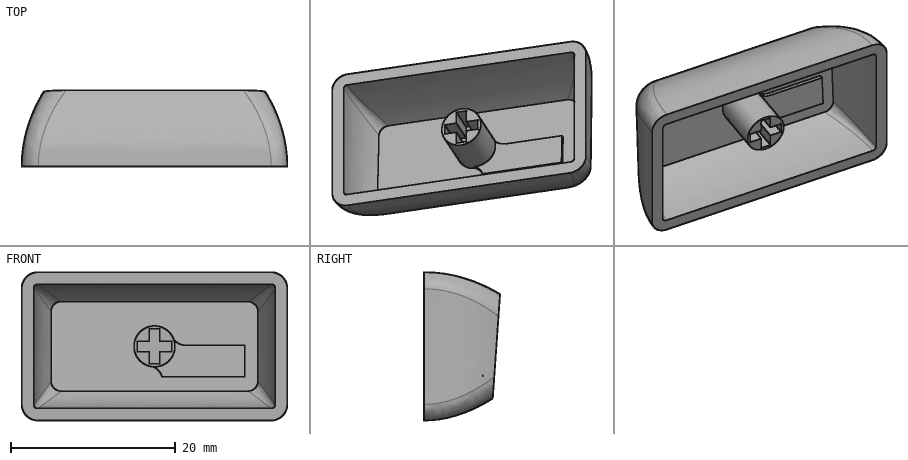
import cadquery as cq
import math


BASE_WIDTH = 32.4
BASE_HEIGHT = 18.1
BASE_CORNER = 2.0
TOP_INSET = 2.7
TOP_CORNER = 2.7
TOP_TILT = 4.0
PEAK_DEPTH = 9.3
SHELL_MID_LEAN = 0.25

WALL = 1.5
CAVITY_WIDTH = BASE_WIDTH - 2 * WALL
CAVITY_HEIGHT = BASE_HEIGHT - 2 * WALL
CAVITY_CORNER = 0.45
FLOOR_THICKNESS = 1.43
FLOOR_INSET = 2.1
FLOOR_CORNER = 1.2
CAVITY_MID_LEAN = 0.28

STEM_DIAMETER = 5.0
STEM_RECESS = 0.97
CROSS_SPAN = 4.25
CROSS_ARM = 1.25
CROSS_DEPTH = 4.0

PLATE_THICKNESS = 0.45
PLATE_RIGHT = 10.98
PLATE_TOP = 0.13
PLATE_BOTTOM = -3.7
PLATE_UPPER_ARC_END = 3.85
PLATE_LOWER_ARC_END = 0.9
PLATE_ARC_RADIUS = 1.9
PLATE_UPPER_ANGLE = 19.0
PLATE_LOWER_ANGLE = -93.5

top_height = BASE_HEIGHT - 2 * TOP_INSET
top_depth = PEAK_DEPTH - top_height / 2 * math.tan(math.radians(TOP_TILT))
floor_depth = top_depth - FLOOR_THICKNESS
stem_radius = STEM_DIAMETER / 2


def facing_front(depth):
    """Workplane parallel to the rim, seen from the open side."""
    return cq.Workplane("XZ", origin=(0, depth, 0))


def leaning_block(width, height, corner, inset, end_corner, depth, mid_lean):
    """Loft from an upright rounded rectangle to a smaller, tilted one, with curved walls."""
    sections = []
    for progress, lean in ((0, 0), (0.5, mid_lean), (1, 1)):
        shrink = 2 * inset * lean
        radius = corner + (end_corner - corner) * lean
        outline = cq.Sketch().rect(width - shrink, height - shrink).vertices().fillet(radius)
        upright = cq.Plane(origin=(0, depth * progress, 0), xDir=(1, 0, 0), normal=(0, 1, 0))
        tilted = upright.rotated((-TOP_TILT * progress, 0, 0))
        sections.append(outline.moved(tilted.location))
    return cq.Workplane().placeSketch(*sections).loft()


def make_cavity():
    return leaning_block(
        CAVITY_WIDTH, CAVITY_HEIGHT, CAVITY_CORNER, FLOOR_INSET, FLOOR_CORNER, floor_depth, CAVITY_MID_LEAN
    )


def make_stem_post():
    """Round post from the stem end to beyond the cavity floor."""
    return facing_front(STEM_RECESS).circle(stem_radius).extrude(STEM_RECESS - top_depth)


def make_cross_socket():
    end_face = facing_front(STEM_RECESS)
    level_arm = end_face.rect(CROSS_SPAN, CROSS_ARM).extrude(-CROSS_DEPTH)
    upright_arm = end_face.rect(CROSS_ARM, CROSS_SPAN).extrude(-CROSS_DEPTH)
    return level_arm.union(upright_arm)


def make_keycap(cavity):
    shell = leaning_block(
        BASE_WIDTH, BASE_HEIGHT, BASE_CORNER, TOP_INSET, TOP_CORNER, top_depth, SHELL_MID_LEAN
    )
    stem = make_stem_post().intersect(cavity)
    return shell.cut(cavity).union(stem).cut(make_cross_socket())


def point_on_stem(angle):
    turn = math.radians(angle)
    return stem_radius * math.cos(turn), stem_radius * math.sin(turn)


def make_plate(cavity):
    """Flat plate lying on the tilted floor, flaring out to wrap around the stem."""
    outline = (
        facing_front(0)
        .moveTo(PLATE_RIGHT, PLATE_TOP)
        .lineTo(PLATE_UPPER_ARC_END, PLATE_TOP)
        .radiusArc(point_on_stem(PLATE_UPPER_ANGLE), PLATE_ARC_RADIUS)
        .lineTo(*point_on_stem(PLATE_LOWER_ANGLE))
        .radiusArc((PLATE_LOWER_ARC_END, PLATE_BOTTOM), PLATE_ARC_RADIUS)
        .lineTo(PLATE_RIGHT, PLATE_BOTTOM)
        .close()
        .extrude(-top_depth)
    )
    space_in_front = cavity.translate((0, -PLATE_THICKNESS, 0))
    floor_layer = cavity.cut(space_in_front)
    return outline.intersect(floor_layer).cut(make_stem_post())


cavity_space = make_cavity()
keycap = make_keycap(cavity_space)
plate = make_plate(cavity_space)

result = cq.Compound.makeCompound([keycap.solids().val(), plate.solids().val()])